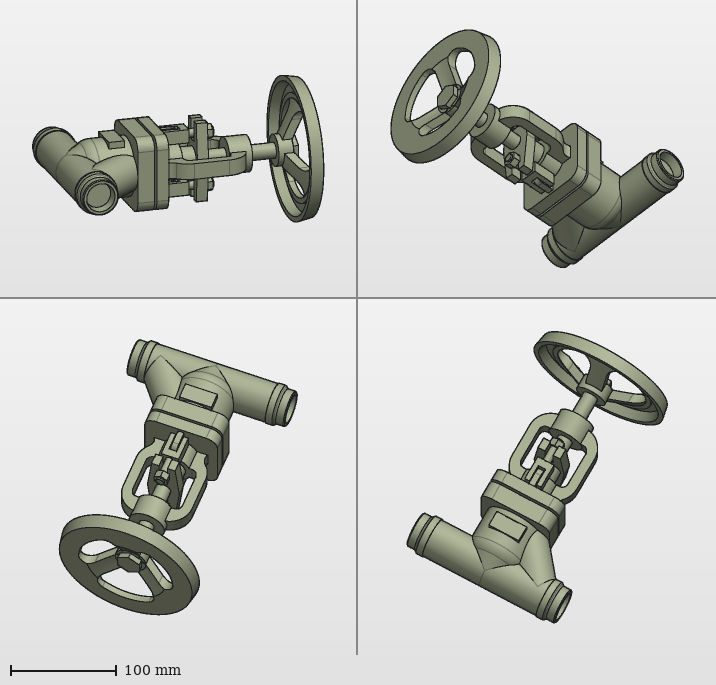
import cadquery as cq
import math


PIPE_RADIUS = 19.5
PIPE_HALF_LENGTH = 80.0
COLLAR_RADIUS = 20.1
COLLAR_START = 61.6
COLLAR_END = 68.5
NECK_START = 71.5
NECK_RADIUS = 17.7
END_CHAMFER = 1.0
BORE_MOUTH_RADIUS = 14.0
BORE_FLOOR_RADIUS = 12.8
BORE_DEPTH = 9.8

BODY_RADIUS = 29.5
CONE_HALF_ANGLE = math.radians(30)
SHOULDER_STATION = 16.2
CONE_STATION = 6.0
BRANCH_OFFSET = 52.3
BRANCH_ANGLE = 51.3
BRANCH_LENGTH = 98.2
PLAQUE_WIDTH = 32.5
PLAQUE_START = 28.0
PLAQUE_END = 43.7
PLAQUE_TOP = 31.2

FLANGE_SIDE = 74.0
FLANGE_CORNER_RADIUS = 11.5
BODY_FLANGE_START = 50.3
BODY_FLANGE_END = 67.0
BONNET_FLANGE_START = 69.2
BONNET_FLANGE_END = 81.0

BOSS_RADIUS = 18.0
LOWER_BOSS_END = 101.5
YOKE_BOSS_START = 147.8
YOKE_BOSS_END = 170.5
YOKE_THICKNESS = 15.7
YOKE_HALF_WIDTH = 35.0
YOKE_TOP = 164.5
YOKE_ARC_RADIUS = 22.5
YOKE_SIDE_START = 107.3
WAIST_RADIUS = 8.3
WINDOW_WIDTH = 50.5
WINDOW_START = 101.5
WINDOW_END = 148.3
WINDOW_CORNER_RADIUS = 6.1

GLAND_RADIUS = 12.5
GLAND_FLANGE_START = 116.1
GLAND_FLANGE_END = 127.2
GLAND_FLANGE_HALF_LENGTH = 39.3
GLAND_FLANGE_END_WIDTH = 24.0
GLAND_FLANGE_MID_WIDTH = 32.5
GLAND_SLOT_WIDTH = 8.8
GLAND_SLOT_FLOOR = 19.2
BOLT_OFFSET = 26.3
BOLT_RADIUS = 4.2
BOLT_END = 136.3
NUT_ACROSS_CORNERS = 15.0
NUT_END = 134.5
CLEVIS_WIDTH = 17.7
CLEVIS_DEPTH = 13.3
CLEVIS_START = 84.7
CLEVIS_END = 110.0
CLEVIS_SLOT_WIDTH = 7.9
CLEVIS_SLOT_END = 102.5
LUG_WIDTH = 6.1
LUG_EYE_STATION = 94.5
LUG_EYE_RADIUS = 7.4

STEM_RADIUS = 7.5
HUB_RADIUS = 15.5
HUB_START = 197.2
HUB_END = 212.1
HUB_NUT_ACROSS_CORNERS = 25.5
HUB_NUT_END = 218.0
WHEEL_START = 212.1
WHEEL_END = 225.5
WHEEL_FRONT_RADIUS = 70.0
WHEEL_BACK_RADIUS = 67.5
GROOVE_OUTER_RADIUS = 64.8
GROOVE_FLOOR_RADIUS = 62.0
GROOVE_INNER_RADIUS = 53.0
GROOVE_DEPTH = 9.8
RIM_LIP_START = 218.8
WHEEL_INNER_RADIUS = 48.0
SPOKE_COUNT = 3
SPOKE_WIDTH = 17.7
SPOKE_START = 202.5
SPOKE_SLOPE = 0.51
SPOKE_THICKNESS = 10.0
SPOKE_CORNER_RADIUS = 10.3


def along_stem(start):
    """Workplane facing +Y at a station; local x is -X and local y is Z."""
    return cq.Workplane("XZ", origin=(0, start, 0)).transformed(rotate=(0, 180, 0))


def cylinder(radius, start, end, z=0):
    return along_stem(start).center(0, z).circle(radius).extrude(end - start)


def hexagon_prism(across_corners, start, end, z=0):
    """Hexagonal prism along the stem with two corners pointing up and down."""
    profile = along_stem(start).center(0, z).transformed(rotate=(0, 0, 90)).polygon(6, across_corners)
    return profile.extrude(end - start)


def block(width, start, end, z_bottom, z_top):
    """Box centred on X, between two stations and two heights."""
    box = cq.Workplane("XY").box(width, end - start, z_top - z_bottom)
    return box.translate((0, (start + end) / 2, (z_bottom + z_top) / 2))


def revolve_about_stem(points):
    """Revolve a closed (radius, station) outline about the stem axis."""
    return cq.Workplane("XY").polyline(points).close().revolve(360, (0, 0, 0), (0, 1, 0))


def make_pipe():
    neck_step = COLLAR_RADIUS - NECK_RADIUS
    half_outline = [
        (0, 0),
        (0, PIPE_RADIUS),
        (COLLAR_START, PIPE_RADIUS),
        (COLLAR_START, COLLAR_RADIUS),
        (COLLAR_END, COLLAR_RADIUS),
        (COLLAR_END + neck_step / 2, COLLAR_RADIUS - neck_step / 2),
        (NECK_START, NECK_RADIUS),
        (PIPE_HALF_LENGTH - END_CHAMFER, NECK_RADIUS),
        (PIPE_HALF_LENGTH, NECK_RADIUS - END_CHAMFER),
        (PIPE_HALF_LENGTH, BORE_MOUTH_RADIUS),
        (PIPE_HALF_LENGTH - BORE_DEPTH, BORE_FLOOR_RADIUS),
        (PIPE_HALF_LENGTH - BORE_DEPTH, 0),
    ]
    half = cq.Workplane("XY").polyline(half_outline).close().revolve(360, (0, 0, 0), (1, 0, 0))
    return half.union(half.mirror("YZ"))


def make_body():
    touch_station = -PIPE_RADIUS * math.sin(CONE_HALF_ANGLE)
    touch_radius = PIPE_RADIUS * math.cos(CONE_HALF_ANGLE)
    cone_radius = touch_radius + (CONE_STATION - touch_station) * math.tan(CONE_HALF_ANGLE)
    rise = SHOULDER_STATION - CONE_STATION
    inset = BODY_RADIUS - cone_radius
    shoulder_radius = (rise**2 + inset**2) / (2 * inset)
    half_sweep = math.asin(rise / shoulder_radius) / 2
    shoulder_middle = (
        BODY_RADIUS - shoulder_radius * (1 - math.cos(half_sweep)),
        SHOULDER_STATION - shoulder_radius * math.sin(half_sweep),
    )
    return (
        cq.Workplane("XY")
        .moveTo(0, BODY_FLANGE_START)
        .lineTo(BODY_RADIUS, BODY_FLANGE_START)
        .lineTo(BODY_RADIUS, SHOULDER_STATION)
        .threePointArc(shoulder_middle, (cone_radius, CONE_STATION))
        .lineTo(touch_radius, touch_station)
        .lineTo(0, touch_station)
        .close()
        .revolve(360, (0, 0, 0), (0, 1, 0))
    )


def make_branch():
    """Slanted tube, as wide as the pipe, from the pipe axis up to the body flange."""
    angle = math.radians(BRANCH_ANGLE)
    axis_plane = cq.Plane(
        origin=(BRANCH_OFFSET, 0, 0),
        xDir=(0, 0, 1),
        normal=(-math.cos(angle), math.sin(angle), 0),
    )
    tube = cq.Workplane(axis_plane).circle(PIPE_RADIUS).extrude(BRANCH_LENGTH)
    above_flange = block(4 * BRANCH_LENGTH, BODY_FLANGE_START, 2 * BRANCH_LENGTH, -BODY_RADIUS, BODY_RADIUS)
    return tube.cut(above_flange)


def make_flange(start, end):
    plate = along_stem(start).rect(FLANGE_SIDE, FLANGE_SIDE).extrude(end - start)
    return plate.edges("|Y").fillet(FLANGE_CORNER_RADIUS)


def make_yoke():
    arc_x = YOKE_HALF_WIDTH - YOKE_ARC_RADIUS
    upper_arc_y = YOKE_TOP - YOKE_ARC_RADIUS
    diagonal = math.sqrt(0.5)
    turn_x = arc_x + YOKE_ARC_RADIUS * diagonal
    turn_y = YOKE_SIDE_START - YOKE_ARC_RADIUS * diagonal
    waist_x = turn_x + WAIST_RADIUS * diagonal
    waist_y = turn_y - WAIST_RADIUS * diagonal
    foot_x = waist_x - math.sqrt(WAIST_RADIUS**2 - (waist_y - BONNET_FLANGE_END) ** 2)
    half_sweep = math.radians(45) / 2
    half_outline = (
        cq.Workplane("XY", origin=(0, 0, -YOKE_THICKNESS / 2))
        .moveTo(0, BONNET_FLANGE_END)
        .lineTo(foot_x, BONNET_FLANGE_END)
        .threePointArc((waist_x - WAIST_RADIUS, waist_y), (turn_x, turn_y))
        .threePointArc(
            (
                arc_x + YOKE_ARC_RADIUS * math.cos(half_sweep),
                YOKE_SIDE_START - YOKE_ARC_RADIUS * math.sin(half_sweep),
            ),
            (YOKE_HALF_WIDTH, YOKE_SIDE_START),
        )
        .lineTo(YOKE_HALF_WIDTH, upper_arc_y)
        .threePointArc(
            (arc_x + YOKE_ARC_RADIUS * diagonal, upper_arc_y + YOKE_ARC_RADIUS * diagonal),
            (arc_x, YOKE_TOP),
        )
        .lineTo(0, YOKE_TOP)
        .close()
    )
    half = half_outline.extrude(YOKE_THICKNESS)
    window = block(WINDOW_WIDTH, WINDOW_START, WINDOW_END, -YOKE_THICKNESS, YOKE_THICKNESS)
    window = window.edges("|Z").fillet(WINDOW_CORNER_RADIUS)
    frame = half.union(half.mirror("YZ")).cut(window)
    lower_boss = cylinder(BOSS_RADIUS, BONNET_FLANGE_END, LOWER_BOSS_END)
    upper_boss = cylinder(BOSS_RADIUS, YOKE_BOSS_START, YOKE_BOSS_END)
    return frame.union(lower_boss).union(upper_boss)


def make_gland():
    half_end = GLAND_FLANGE_END_WIDTH / 2
    half_mid = GLAND_FLANGE_MID_WIDTH / 2
    length = GLAND_FLANGE_HALF_LENGTH
    outline = [
        (half_end, length),
        (half_mid, 0),
        (half_end, -length),
        (-half_end, -length),
        (-half_mid, 0),
        (-half_end, length),
    ]
    thickness = GLAND_FLANGE_END - GLAND_FLANGE_START
    flange = along_stem(GLAND_FLANGE_START).polyline(outline).close().extrude(thickness)
    slot = block(GLAND_SLOT_WIDTH, GLAND_FLANGE_START, GLAND_FLANGE_END, GLAND_SLOT_FLOOR, length)
    flange = flange.cut(slot).cut(slot.mirror("XY"))
    return flange.union(cylinder(GLAND_RADIUS, LOWER_BOSS_END, GLAND_FLANGE_START))


def make_gland_bolt():
    """Upper swing bolt: forked foot over a round-ended lug, shank and nut."""
    foot_bottom = BOLT_OFFSET - CLEVIS_DEPTH / 2
    foot_top = BOLT_OFFSET + CLEVIS_DEPTH / 2
    foot = block(CLEVIS_WIDTH, CLEVIS_START, CLEVIS_END, foot_bottom, foot_top)
    fork_slot = block(CLEVIS_SLOT_WIDTH, CLEVIS_START, CLEVIS_SLOT_END, foot_bottom, foot_top)
    lug = block(LUG_WIDTH, BONNET_FLANGE_END, LUG_EYE_STATION, 0, BOLT_OFFSET + LUG_EYE_RADIUS)
    eye = (
        cq.Workplane("YZ", origin=(-LUG_WIDTH / 2, LUG_EYE_STATION, BOLT_OFFSET))
        .circle(LUG_EYE_RADIUS)
        .extrude(LUG_WIDTH)
    )
    shank = cylinder(BOLT_RADIUS, CLEVIS_END, BOLT_END, BOLT_OFFSET)
    nut = hexagon_prism(NUT_ACROSS_CORNERS, GLAND_FLANGE_END, NUT_END, BOLT_OFFSET)
    return foot.cut(fork_slot).union(lug).union(eye).union(shank).union(nut)


def make_spokes():
    """Cone-shaped web cut down to equally spaced spokes that flare into the rim."""
    front_rise = SPOKE_SLOPE * (WHEEL_INNER_RADIUS - HUB_RADIUS)
    back_start = SPOKE_START + SPOKE_THICKNESS
    back_limit = HUB_RADIUS + (WHEEL_END - back_start) / SPOKE_SLOPE
    spokes = revolve_about_stem(
        [
            (0, SPOKE_START),
            (HUB_RADIUS, SPOKE_START),
            (WHEEL_INNER_RADIUS, SPOKE_START + front_rise),
            (WHEEL_INNER_RADIUS, WHEEL_END),
            (back_limit, WHEEL_END),
            (HUB_RADIUS, back_start),
            (0, back_start),
        ]
    )

    half_step = math.pi / SPOKE_COUNT
    tip = SPOKE_WIDTH / 2 / math.sin(half_step)
    reach = 2 * WHEEL_INNER_RADIUS
    far_x = reach * math.sin(half_step)
    far_z = tip + reach * math.cos(half_step)
    depth = WHEEL_END - HUB_START
    slice_outline = [(0, tip), (far_x, far_z), (far_x, reach), (-far_x, reach), (-far_x, far_z)]
    opening = along_stem(HUB_START).polyline(slice_outline).close().extrude(depth)
    opening = opening.intersect(cylinder(WHEEL_INNER_RADIUS, HUB_START, WHEEL_END))
    rim_corners = cq.selectors.BoxSelector(
        (-reach, HUB_START, HUB_RADIUS),
        (reach, WHEEL_END, reach),
    )
    opening = opening.edges("|Y").edges(rim_corners).fillet(SPOKE_CORNER_RADIUS)
    for index in range(SPOKE_COUNT):
        angle = 180 + index * 360 / SPOKE_COUNT
        spokes = spokes.cut(opening.rotate((0, 0, 0), (0, 1, 0), angle))
    return spokes


def make_handwheel():
    groove_floor = WHEEL_START + GROOVE_DEPTH
    rim = revolve_about_stem(
        [
            (WHEEL_INNER_RADIUS, RIM_LIP_START),
            (GROOVE_INNER_RADIUS, RIM_LIP_START),
            (GROOVE_INNER_RADIUS, groove_floor),
            (GROOVE_FLOOR_RADIUS, groove_floor),
            (GROOVE_OUTER_RADIUS, WHEEL_START),
            (WHEEL_FRONT_RADIUS, WHEEL_START),
            (WHEEL_BACK_RADIUS, WHEEL_END),
            (WHEEL_INNER_RADIUS, WHEEL_END),
        ]
    )
    hub = cylinder(HUB_RADIUS, HUB_START, HUB_END)
    nut = hexagon_prism(HUB_NUT_ACROSS_CORNERS, HUB_END, HUB_NUT_END)
    return rim.union(make_spokes()).union(hub).union(nut)


gland_bolt = make_gland_bolt()
plaque = block(PLAQUE_WIDTH, PLAQUE_START, PLAQUE_END, 0, PLAQUE_TOP)

result = (
    make_pipe()
    .union(make_body())
    .union(make_branch())
    .union(plaque)
    .union(make_flange(BODY_FLANGE_START, BODY_FLANGE_END))
    .union(cylinder(BODY_RADIUS, BODY_FLANGE_END, BONNET_FLANGE_START))
    .union(make_flange(BONNET_FLANGE_START, BONNET_FLANGE_END))
    .union(make_yoke())
    .union(make_gland())
    .union(gland_bolt)
    .union(gland_bolt.mirror("XY"))
    .union(cylinder(STEM_RADIUS, LOWER_BOSS_END, HUB_END))
    .union(make_handwheel())
)